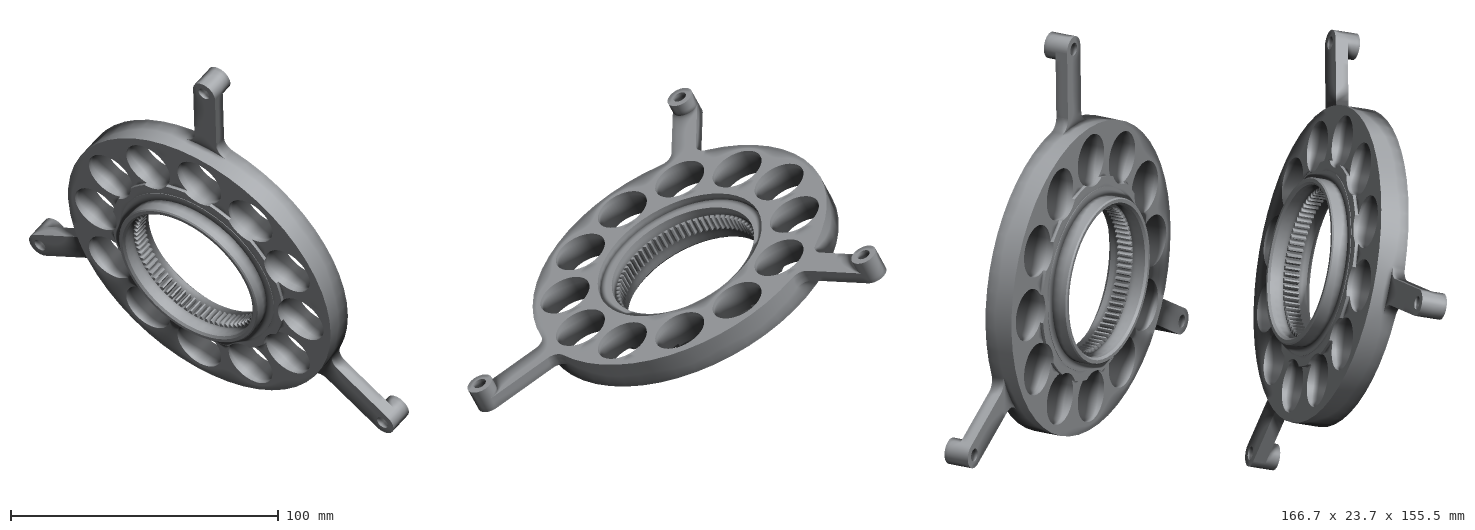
import cadquery as cq
import math

disc_diameter = 120.0
disc_thickness = 11.2
window_count = 12
window_diameter = 20.0
window_circle_radius = 46.8

flange_diameter = 77.8
flange_height = 1.3
shoulder_diameter = 70.0
shoulder_height = 0.2
collar_diameter = 63.5
collar_height = 6.0
collar_chamfer = 0.5

bore_diameter = 58.1
mouth_chamfer = 0.8
recess_diameter = 67.0
recess_depth = 3.0
gear_tip_diameter = 55.0
gear_length = 6.0
tooth_count = 75
gap_width_at_tip = 1.7
gap_width_at_root = 0.7

arm_count = 3
first_arm_angle = 91.4
arm_width = 10.0
arm_thickness = 5.0
arm_reach = 90.5
arm_root_fillet = 5.0
boss_height = 5.0
boss_hole_diameter = 5.0

flange_face = disc_thickness + flange_height
shoulder_face = flange_face + shoulder_height
collar_face = shoulder_face + collar_height
gear_front = shoulder_face
gear_rear = gear_front - gear_length


def plane_at(distance):
    """Sketch plane with X right and Z up, facing -Y, at a distance in front of the rear face."""
    return cq.Workplane("XZ", origin=(0, -distance, 0))


def cylinder(diameter, start, end, center_x=0):
    """Cylinder along Y between two distances in front of the rear face."""
    return plane_at(start).center(center_x, 0).circle(diameter / 2).extrude(end - start)


def make_windows():
    """Ring of round windows through the disc and the rim of the flange."""
    return (
        plane_at(0)
        .polarArray(window_circle_radius, 0, 360, window_count)
        .circle(window_diameter / 2)
        .extrude(flange_face)
    )


def make_collar():
    """Collar ring, chamfered at the outside and at the mouth of its bore."""
    collar = cylinder(collar_diameter, shoulder_face, collar_face)
    collar = collar.faces("<Y").chamfer(collar_chamfer)
    collar = collar.cut(cylinder(bore_diameter, shoulder_face, collar_face))
    mouth_edge = cq.selectors.RadiusNthSelector(0)
    return collar.faces("<Y").edges(mouth_edge).chamfer(mouth_chamfer)


def make_gear_opening():
    """Opening inside the gear teeth, with one tooth centred on the first arm."""
    pitch_angle = 360 / tooth_count
    tip_radius = gear_tip_diameter / 2
    root_radius = bore_diameter / 2
    gap_corners = (
        (tip_radius, -gap_width_at_tip / 2),
        (root_radius, -gap_width_at_root / 2),
        (root_radius, gap_width_at_root / 2),
        (tip_radius, gap_width_at_tip / 2),
    )
    points = []
    for tooth in range(tooth_count):
        gap_angle = math.radians(first_arm_angle + (tooth + 0.5) * pitch_angle)
        for radius, offset in gap_corners:
            angle = gap_angle + offset / radius
            points.append((radius * math.cos(angle), radius * math.sin(angle)))
    return plane_at(gear_rear).polyline(points).close().extrude(gear_length)


def make_arm():
    """Arm along +X with a filleted root, a round end and a pierced boss that stands out behind."""
    half_width = arm_width / 2
    disc_radius = disc_diameter / 2
    fillet_center_z = half_width + arm_root_fillet
    fillet_center_radius = disc_radius + arm_root_fillet
    fillet_center_x = math.sqrt(fillet_center_radius**2 - fillet_center_z**2)
    root_x = fillet_center_x * disc_radius / fillet_center_radius
    root_z = fillet_center_z * disc_radius / fillet_center_radius
    bar = (
        plane_at(0)
        .moveTo(root_x, -root_z)
        .radiusArc((fillet_center_x, -half_width), arm_root_fillet)
        .lineTo(arm_reach, -half_width)
        .threePointArc((arm_reach + half_width, 0), (arm_reach, half_width))
        .lineTo(fillet_center_x, half_width)
        .radiusArc((root_x, root_z), arm_root_fillet)
        .close()
        .extrude(arm_thickness)
    )
    boss = cylinder(arm_width, -boss_height, arm_thickness, arm_reach)
    hole = cylinder(boss_hole_diameter, -boss_height, arm_thickness, arm_reach)
    return bar.union(boss).cut(hole)


result = cylinder(disc_diameter, 0, disc_thickness)
result = result.union(cylinder(flange_diameter, disc_thickness, flange_face))
result = result.cut(make_windows())
result = result.union(cylinder(shoulder_diameter, flange_face, shoulder_face))

result = result.cut(make_gear_opening())
result = result.cut(cylinder(bore_diameter, recess_depth, gear_rear))
result = result.cut(cylinder(recess_diameter, 0, recess_depth))
result = result.union(make_collar())

arm = make_arm()
for index in range(arm_count):
    arm_angle = first_arm_angle + index * 360 / arm_count
    result = result.union(arm.rotate((0, 0, 0), (0, 1, 0), -arm_angle))